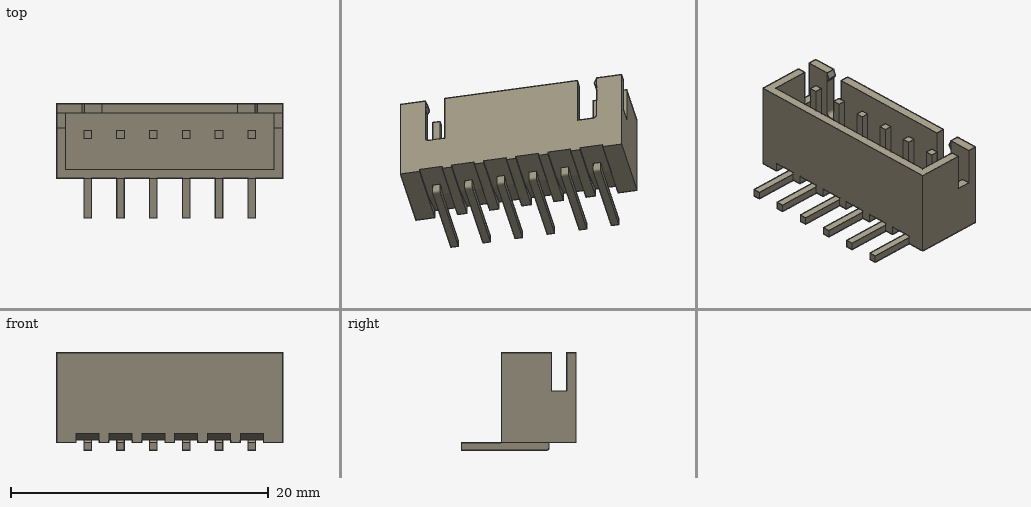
import cadquery as cq


length = 17.58
depth = 5.8
height = 7.0
wall = 0.7
back_wall = 0.74

latch_width = 1.99
latch_slot_end = 3.52
side_slot_width = 1.16
side_slot_depth = 2.99
back_slot_depth = 3.99
latch_root_radius = 0.3
nub_reach = 0.2
nub_peak_drop = 0.5
nub_drop = 0.8

pin_count = 6
pin_pitch = 2.55
pin_width = 0.6
pin_front = 3.11
pin_top = 6.5
tail_reach = 3.1
bend_radius = 0.2
notch_width = 1.8
notch_height = 0.7
notch_back_height = 0.2
notch_slope_run = 2.5

floor_thickness = notch_height + wall
back_inner = depth - back_wall
half_length = length / 2
latch_edge = half_length - latch_width
latch_slot_inner = half_length - latch_slot_end
pin_positions = [(i - (pin_count - 1) / 2) * pin_pitch for i in range(pin_count)]


def box_between(x_range, y_range, z_range):
    """Box given by its lowest and highest coordinate along each axis."""
    size = [high - low for low, high in (x_range, y_range, z_range)]
    low_corner = (x_range[0], y_range[0], z_range[0])
    return cq.Workplane("XY").box(*size, centered=False).translate(low_corner)


def mirrored(shape):
    """Copy of a right-hand shape for the left end."""
    return shape.mirror("YZ")


def make_shell():
    """Open-topped box."""
    outer = box_between((-half_length, half_length), (0, depth), (0, height))
    cavity = box_between(
        (-half_length + wall, half_length - wall),
        (wall, back_inner),
        (floor_thickness, height),
    )
    return outer.cut(cavity)


def make_back_slot():
    """Slot through the back wall beside the right latch, rounded at the latch's root."""
    slot = box_between(
        (latch_slot_inner, latch_edge),
        (back_inner, depth),
        (height - back_slot_depth, height),
    )
    return slot.edges("|Y and >X and <Z").fillet(latch_root_radius)


def make_side_slot():
    """Slot through the right end wall, just in front of the latch."""
    return box_between(
        (half_length - wall, half_length),
        (back_inner - side_slot_width, back_inner),
        (height - side_slot_depth, height),
    )


def make_notch(x):
    """Clearance under the housing for one pin tail; its ceiling slopes down towards the pin."""
    return (
        cq.Workplane("YZ", origin=(x - notch_width / 2, 0, 0))
        .polyline(
            [
                (0, 0),
                (0, notch_height),
                (notch_slope_run, notch_back_height),
                (depth, notch_back_height),
                (depth, 0),
            ]
        )
        .close()
        .extrude(notch_width)
    )


def make_pin(x):
    """Square pin standing in the cavity, bent forward under the housing into a solder tail."""
    pin_back = pin_front + pin_width
    pin = (
        cq.Workplane("YZ", origin=(x - pin_width / 2, 0, 0))
        .polyline(
            [
                (-tail_reach, -pin_width),
                (pin_back, -pin_width),
                (pin_back, pin_top),
                (pin_front, pin_top),
                (pin_front, 0),
                (-tail_reach, 0),
            ]
        )
        .close()
        .extrude(pin_width)
    )
    outer_corner = cq.selectors.NearestToPointSelector((x, pin_back, -pin_width))
    inner_corner = cq.selectors.NearestToPointSelector((x, pin_front, 0))
    pin = pin.edges(outer_corner).fillet(bend_radius)
    return pin.edges(inner_corner).fillet(bend_radius)


def make_housing():
    """Housing with its moulded-in pins, all one body."""
    housing = make_shell()
    for slot in (make_back_slot(), make_side_slot()):
        housing = housing.cut(slot).cut(mirrored(slot))
    for x in pin_positions:
        housing = housing.cut(make_notch(x))
    for x in pin_positions:
        housing = housing.union(make_pin(x))
    return housing


def make_latch_nub():
    """Wedge-shaped catch on the inner edge of the right latch."""
    return (
        cq.Workplane("XZ", origin=(0, depth, 0))
        .polyline(
            [
                (latch_edge, height),
                (latch_edge - nub_reach, height - nub_peak_drop),
                (latch_edge, height - nub_drop),
            ]
        )
        .close()
        .extrude(back_wall)
    )


housing = make_housing()
right_nub = make_latch_nub()
latch_nubs = [right_nub, mirrored(right_nub)]

result = cq.Compound.makeCompound([housing.val(), *[nub.val() for nub in latch_nubs]])